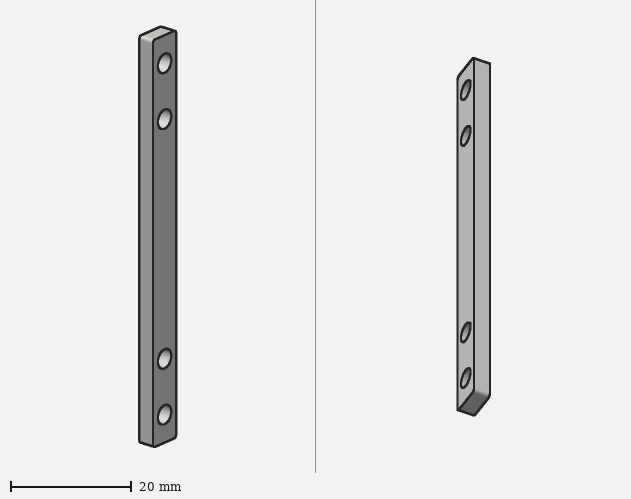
import cadquery as cq

thickness = 3.0
width = 6.0
length = 73.0

hole_diameter = 3.4
end_to_outer_hole = 5.05
hole_pitch = 10.0

corner_radius = 0.6

outer_hole_z = length / 2 - end_to_outer_hole
inner_hole_z = outer_hole_z - hole_pitch
hole_heights = [outer_hole_z, inner_hole_z, -inner_hole_z, -outer_hole_z]

bar = cq.Workplane("XY").box(thickness, width, length)
bar = bar.edges("|X").fillet(corner_radius)

result = (
    bar.faces("<X")
    .workplane(centerOption="CenterOfBoundBox")
    .pushPoints([(0, z) for z in hole_heights])
    .hole(hole_diameter)
)